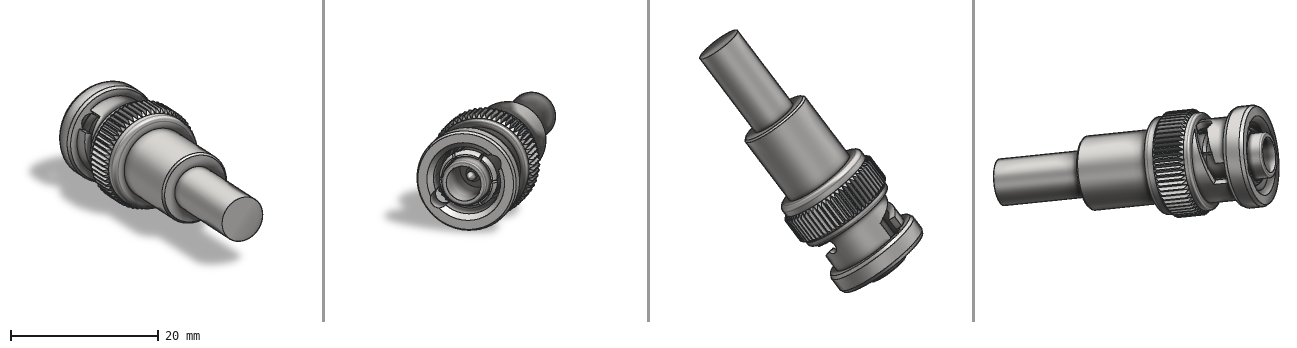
import cadquery as cq
import math


total_length = 38.95

nut_start = 1.15
nut_bore_radius = 9.4 / 2
flange_radius = 13.9 / 2
flange_face_radius = 13.4 / 2
flange_end = 4.13
flange_chamfer_length = 0.5
mouth_chamfer = 0.75
barrel_radius = 11.4 / 2
grip_start = 9.05
grip_radius = 13.4 / 2
grip_front_fillet = 0.35
nut_end = 15.8
grip_rear_fillet = 0.62

knurl_start = 9.9
knurl_end = 14.37
knurl_radius = 14.45 / 2
knurl_end_slope = 0.55
tooth_count = 60
tooth_crest_width = 0.15

slot_count = 2
channel_radius = 1.2
channel_offset = 4.65
window_start_angle = 129.0
window_end_angle = 159.0
ramp_front_start = 5.75
ramp_rear_start = 6.65
ramp_advance_per_degree = 0.027
ramp_end_angle = 222.0
lock_hole_diameter = 2.15
lock_hole_x = 7.95
lock_hole_angle = 225.5

tube_radius = 6.25 / 2
tube_bore_radius = 4.85 / 2
tube_tip_fillet = 0.25
finger_tip_x = 1.9
finger_inner_radius = 3.35
finger_tip_radius = 3.6
finger_bulge_x = 2.73
finger_bulge_radius = 4.05
finger_neck_x = 3.55
finger_neck_radius = 3.62
root_cone_start = 7.75
root_cone_end = 8.2
finger_root_radius = 7.85 / 2
finger_slot_end = 9.35
finger_gap_end = 10.5
finger_slot_width = 0.35
finger_slot_pairs = 3
step_x = 9.75
step_radius = 8.55 / 2
shoulder_x = 10.13
sleeve_radius = 10.15 / 2
sleeve_end = 26.2
sleeve_chamfer = 0.27
cable_radius = 6.4 / 2

shank_radius = 2.05 / 2
shank_start = 5.45
pin_radius = 1.32 / 2
pin_tip_x = 3.1
pin_cone_length = 1.15
bore_floor_x = 7.8

cut_margin = 0.4


def revolve_about_axis(profile):
    """Turn a closed (x, radius) profile all the way round the X axis."""
    return profile.close().revolve(360, (0, 0, 0), (1, 0, 0))


def axial_cylinder(radius, start, end):
    return cq.Workplane("YZ", origin=(start, 0, 0)).circle(radius).extrude(end - start)


def polar(radius, angle):
    """Point in the YZ plane at a radius and an angle in degrees."""
    return (radius * math.cos(math.radians(angle)), radius * math.sin(math.radians(angle)))


def barrel_sector(start_angle, end_angle, x, margin=cut_margin):
    """Ring sector between two angles, on the plane at x, that spans the barrel wall."""
    outer_radius = barrel_radius + margin
    inner_radius = nut_bore_radius - margin
    middle_angle = (start_angle + end_angle) / 2
    return (
        cq.Workplane("YZ", origin=(x, 0, 0))
        .moveTo(*polar(inner_radius, start_angle))
        .lineTo(*polar(outer_radius, start_angle))
        .threePointArc(polar(outer_radius, middle_angle), polar(outer_radius, end_angle))
        .lineTo(*polar(inner_radius, end_angle))
        .threePointArc(polar(inner_radius, middle_angle), polar(inner_radius, start_angle))
        .close()
    )


def nut_blank():
    profile = (
        cq.Workplane("XY")
        .moveTo(nut_start, nut_bore_radius + mouth_chamfer)
        .lineTo(nut_start, flange_face_radius)
        .lineTo(nut_start + flange_chamfer_length, flange_radius)
        .lineTo(flange_end - flange_chamfer_length, flange_radius)
        .lineTo(flange_end, flange_face_radius)
        .lineTo(flange_end, barrel_radius)
        .lineTo(grip_start, barrel_radius)
        .lineTo(grip_start, grip_radius - grip_front_fillet)
        .radiusArc((grip_start + grip_front_fillet, grip_radius), grip_front_fillet)
        .lineTo(knurl_start, grip_radius)
        .lineTo(knurl_start + knurl_end_slope, knurl_radius)
        .lineTo(knurl_end - knurl_end_slope, knurl_radius)
        .lineTo(knurl_end, grip_radius)
        .lineTo(nut_end - grip_rear_fillet, grip_radius)
        .radiusArc((nut_end, grip_radius - grip_rear_fillet), grip_rear_fillet)
        .lineTo(nut_end, nut_bore_radius)
        .lineTo(nut_start + mouth_chamfer, nut_bore_radius)
    )
    return revolve_about_axis(profile)


def knurl_grooves():
    """V grooves between the teeth, as one compound of cutters."""
    pitch_angle = 360 / tooth_count
    half_crest_angle = math.degrees(tooth_crest_width / 2 / knurl_radius)
    half_groove_angle = pitch_angle / 2 - half_crest_angle
    bottom = polar(grip_radius, 0)
    crest_edge = polar(knurl_radius, half_groove_angle)
    top = (2 * crest_edge[0] - bottom[0], 2 * crest_edge[1])
    groove = (
        cq.Workplane("YZ", origin=(knurl_start, 0, 0))
        .polyline([bottom, top, (top[0], -top[1])])
        .close()
        .extrude(knurl_end - knurl_start)
        .val()
    )
    axis_start, axis_end = cq.Vector(0, 0, 0), cq.Vector(1, 0, 0)
    grooves = [groove.rotate(axis_start, axis_end, i * pitch_angle) for i in range(tooth_count)]
    return cq.Workplane(cq.Compound.makeCompound(grooves))


def bayonet_slot():
    """Cutters for one bayonet slot, from the flange face to the locking hole."""
    channel_centre = polar(channel_offset, (window_start_angle + window_end_angle) / 2)
    channel = (
        cq.Workplane("YZ", origin=(nut_start, 0, 0))
        .center(*channel_centre)
        .circle(channel_radius)
        .extrude(flange_end - nut_start)
    )
    window = barrel_sector(window_start_angle, window_end_angle, flange_end).extrude(
        ramp_front_start - flange_end
    )
    rear_lag = (ramp_rear_start - ramp_front_start) / ramp_advance_per_degree
    ramp_length = grip_start - ramp_front_start
    ramp_twist = ramp_length / ramp_advance_per_degree
    helix = barrel_sector(
        window_start_angle - rear_lag, window_end_angle, ramp_front_start, 2 * cut_margin
    ).twistExtrude(ramp_length, ramp_twist)
    ramp_limits = barrel_sector(window_start_angle, ramp_end_angle, ramp_front_start).extrude(
        ramp_length
    )
    ramp = helix.intersect(ramp_limits)
    lock_hole = (
        cq.Workplane("XY", origin=(lock_hole_x, 0, 0))
        .circle(lock_hole_diameter / 2)
        .extrude(barrel_radius + cut_margin)
        .rotate((0, 0, 0), (1, 0, 0), lock_hole_angle - 90)
    )
    return [channel, window, ramp, lock_hole]


def make_coupling_nut():
    nut = nut_blank().cut(knurl_grooves())
    for i in range(slot_count):
        for cutter in bayonet_slot():
            nut = nut.cut(cutter.rotate((0, 0, 0), (1, 0, 0), i * 360 / slot_count))
    return nut


def body_blank():
    profile = (
        cq.Workplane("XY")
        .moveTo(0, tube_bore_radius)
        .lineTo(0, tube_radius - tube_tip_fillet)
        .radiusArc((tube_tip_fillet, tube_radius), tube_tip_fillet)
        .lineTo(finger_gap_end, tube_radius)
        .lineTo(finger_gap_end, finger_inner_radius)
        .lineTo(finger_tip_x, finger_inner_radius)
        .lineTo(finger_tip_x, finger_tip_radius)
        .threePointArc((finger_bulge_x, finger_bulge_radius), (finger_neck_x, finger_neck_radius))
        .lineTo(root_cone_start, finger_neck_radius)
        .lineTo(root_cone_end, finger_root_radius)
        .lineTo(step_x, finger_root_radius)
        .lineTo(step_x, step_radius)
        .lineTo(shoulder_x, step_radius)
        .lineTo(shoulder_x, nut_bore_radius)
        .lineTo(nut_end, nut_bore_radius)
        .lineTo(nut_end, sleeve_radius)
        .lineTo(sleeve_end - sleeve_chamfer, sleeve_radius)
        .lineTo(sleeve_end, sleeve_radius - sleeve_chamfer)
        .lineTo(sleeve_end, cable_radius)
        .lineTo(total_length, cable_radius)
        .lineTo(total_length, 0)
        .lineTo(bore_floor_x, 0)
        .lineTo(bore_floor_x, tube_bore_radius)
    )
    return revolve_about_axis(profile)


def finger_slots():
    """Slots that split the ring around the tube into spring fingers."""
    slot_length = finger_slot_end - finger_tip_x
    bars = [
        cq.Workplane("YZ", origin=(finger_tip_x, 0, 0))
        .rect(2 * step_radius, finger_slot_width)
        .extrude(slot_length)
        .rotate((0, 0, 0), (1, 0, 0), i * 180 / finger_slot_pairs)
        for i in range(finger_slot_pairs)
    ]
    tube_core = axial_cylinder(finger_inner_radius, finger_tip_x, finger_slot_end)
    return [bar.cut(tube_core) for bar in bars]


def centre_contact():
    """Stepped contact pin that stands on the bore floor and ends in a cone."""
    profile = (
        cq.Workplane("XY")
        .moveTo(pin_tip_x, 0)
        .lineTo(pin_tip_x + pin_cone_length, pin_radius)
        .lineTo(shank_start, pin_radius)
        .lineTo(shank_start, shank_radius)
        .lineTo(bore_floor_x, shank_radius)
        .lineTo(bore_floor_x, 0)
    )
    return revolve_about_axis(profile)


def make_connector_body():
    body = body_blank()
    for slot in finger_slots():
        body = body.cut(slot)
    return body.union(centre_contact())


coupling_nut = make_coupling_nut()
connector_body = make_connector_body()
result = cq.Compound.makeCompound([coupling_nut.val(), connector_body.val()])